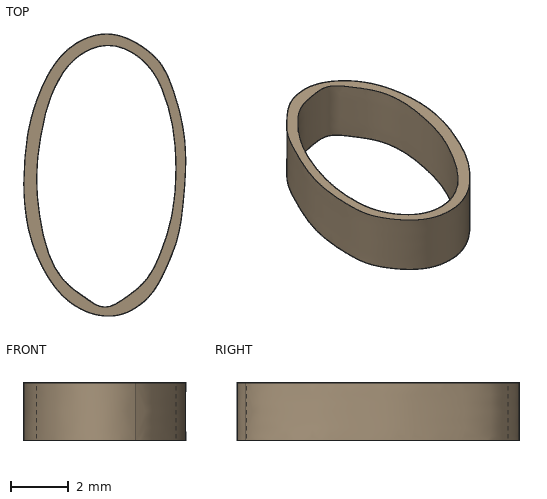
import cadquery as cq

band_height = 2.0

outer_left = (-2.8, -0.29)
outer_low = (1.065, -4.6)

outer_long_points = [
    outer_left,
    (-2.765, 0.59),
    (-2.64, 1.56),
    (-2.19, 3.0),
    (-1.25, 4.36),
    (0.08, 4.88),
    (1.41, 4.36),
    (1.91, 3.89),
    (2.34, 3.0),
    (2.765, 1.24),
    (2.72, -0.97),
    (2.49, -2.3),
    (2.15, -3.18),
    (1.68, -4.035),
    outer_low,
]

outer_short_points = [
    outer_low,
    (-0.02, -4.885),
    (-1.11, -4.47),
    (-2.17, -3.18),
    (-2.65, -1.86),
    (-2.77, -0.98),
    outer_left,
]

inner_points = [
    (1.96, 3.0),
    (2.34, 1.68),
    (2.46, 0.1),
    (2.32, -1.42),
    (1.915, -2.74),
    (1.45, -3.615),
    (0.73, -4.24),
    (0.0, -4.57),
    (-0.7, -4.24),
    (-1.45, -3.615),
    (-1.93, -2.74),
    (-2.25, -1.42),
    (-2.35, -0.2),
    (-2.23, 1.24),
    (-1.74, 3.0),
    (-1.03, 4.01),
    (0.1, 4.47),
    (1.21, 4.04),
]


def make_outer_body():
    """Solid bounded by the two outer curves."""
    return (
        cq.Workplane("XY")
        .moveTo(*outer_left)
        .spline(outer_long_points[1:], includeCurrent=True)
        .spline(outer_short_points[1:], includeCurrent=True)
        .close()
        .extrude(band_height)
    )


def make_opening():
    """Volume of the opening that runs through the full height."""
    return cq.Workplane("XY").spline(inner_points, periodic=True).close().extrude(band_height)


result = make_outer_body().cut(make_opening())